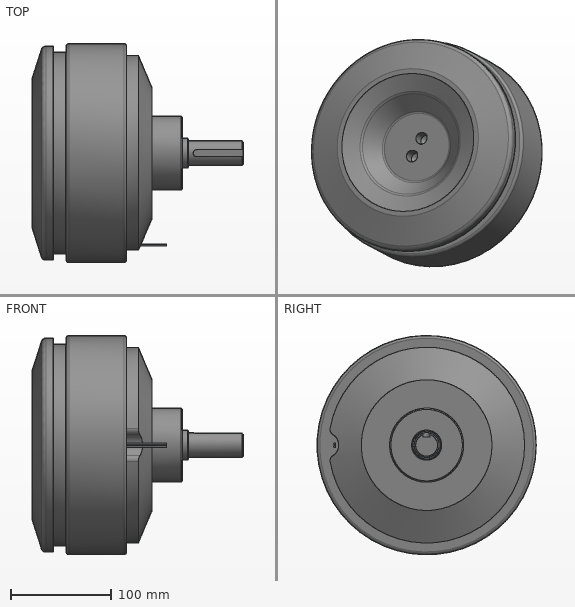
import cadquery as cq
import math


ring_inner_d = 140.0
ring_outer_d = 149.8
disc_d = 214.0
disc_cone_depth = 10.3
disc_end_x = 21.5
disc_fillet = 5.0
disc_chamfer = 0.9

recess_mouth_depth = 7.2
recess_mouth_d = 103.8
recess_depth = 26.3
recess_floor_d = 71.0
recess_mouth_fillet = 5.5
recess_floor_fillet = 2.5

hole_d = 11.8
hole_point_angle = 118.0
hole_depth = 15.0
hole_y = 5.0
hole_z = 8.8

neck_d = 202.0
neck_chamfer = 0.9

body_d = 219.0
body_start_x = 34.0
body_end_x = 94.4
body_fillet = 2.8

boss_d = 195.5
boss_rim_end_x = 106.0
boss_back_d = 130.5
boss_end_x = 119.8

hub_d = 74.0
hub_end_x = 150.0
hub_chamfer = 1.3
collar_d = 30.0
collar_end_x = 156.1
collar_chamfer = 1.0
shaft_d = 25.0
shaft_end_x = 211.0
shaft_chamfer = 1.5

key_width = 7.0
key_start_x = 160.7
key_depth = 4.2

scallop_r = 12.5
scallop_floor_y = -87.8
scallop_lip_r = 6.0

wire_d = 2.0
wire_y = -91.8
wire_pitch = 2.6
wire_end_x = 134.2
wire_embed = 4.4


def turned_body():
    """Solid of revolution with its recess, before rounding the edges."""
    outline = [
        (recess_depth, 0),
        (recess_depth, recess_floor_d / 2),
        (recess_mouth_depth, recess_mouth_d / 2),
        (0, ring_inner_d / 2),
        (0, ring_outer_d / 2),
        (disc_cone_depth, disc_d / 2),
        (disc_end_x, disc_d / 2),
        (disc_end_x, neck_d / 2),
        (body_start_x - neck_chamfer, neck_d / 2),
        (body_start_x, neck_d / 2 - neck_chamfer),
        (body_start_x, body_d / 2),
        (body_end_x, body_d / 2),
        (body_end_x, boss_d / 2),
        (boss_rim_end_x, boss_d / 2),
        (boss_end_x, boss_back_d / 2),
        (boss_end_x, hub_d / 2),
        (hub_end_x, hub_d / 2),
        (hub_end_x, collar_d / 2),
        (collar_end_x, collar_d / 2),
        (collar_end_x, shaft_d / 2),
        (shaft_end_x, shaft_d / 2),
        (shaft_end_x, 0),
    ]
    return cq.Workplane("XY").polyline(outline).close().revolve(360, (0, 0, 0), (1, 0, 0))


def circular_edge(solid, x, diameter):
    """Select the circular edge of the given diameter at the given X."""
    reach = 0.1
    outer = diameter / 2 + reach
    box = cq.selectors.BoxSelector(
        (x - reach, -outer, -outer), (x + reach, outer, outer), boundingbox=True
    )
    circles = solid.edges("%CIRCLE").edges(box)
    return circles.filter(lambda edge: abs(edge.radius() - diameter / 2) < reach)


def round_and_chamfer(solid):
    fillets = [
        (disc_cone_depth, disc_d, disc_fillet),
        (recess_mouth_depth, recess_mouth_d, recess_mouth_fillet),
        (recess_depth, recess_floor_d, recess_floor_fillet),
        (body_start_x, body_d, body_fillet),
        (body_end_x, body_d, body_fillet),
    ]
    chamfers = [
        (disc_end_x, disc_d, disc_chamfer),
        (hub_end_x, hub_d, hub_chamfer),
        (collar_end_x, collar_d, collar_chamfer),
        (shaft_end_x, shaft_d, shaft_chamfer),
    ]
    for x, diameter, radius in fillets:
        solid = circular_edge(solid, x, diameter).fillet(radius)
    for x, diameter, size in chamfers:
        solid = circular_edge(solid, x, diameter).chamfer(size)
    return solid


def drilled_hole(side):
    """Blind hole in the recess floor with a conical end; side is +1 or -1."""
    radius = hole_d / 2
    point_depth = radius / math.tan(math.radians(hole_point_angle / 2))
    profile = [(0, 0), (0, radius), (hole_depth, radius), (hole_depth + point_depth, 0)]
    return (
        cq.Workplane("XY", origin=(recess_depth, -side * hole_y, side * hole_z))
        .polyline(profile)
        .close()
        .revolve(360, (0, 0, 0), (1, 0, 0))
    )


def keyway():
    """Round-ended slot from the top of the shaft, running out of its end."""
    radius = key_width / 2
    floor_z = shaft_d / 2 - key_depth
    overrun = 2.2
    length = shaft_end_x + overrun - key_start_x - radius
    straight = (
        cq.Workplane("XY", origin=(key_start_x + radius, 0, floor_z))
        .rect(length, key_width, centered=(False, True))
        .extrude(key_depth + overrun)
    )
    round_end = (
        cq.Workplane("XY", origin=(key_start_x + radius, 0, floor_z))
        .circle(radius)
        .extrude(key_depth + overrun)
    )
    return straight.union(round_end)


def scallop():
    """Cutter for the scallop: a concave arc blended by lip arcs into the boss rim."""
    boss_r = boss_d / 2
    center_y = scallop_floor_y - scallop_r

    lip_center_r = boss_r - scallop_lip_r
    reach = scallop_r + scallop_lip_r
    lip_center_y = (center_y**2 + lip_center_r**2 - reach**2) / (2 * center_y)
    lip_center_z = math.sqrt(lip_center_r**2 - lip_center_y**2)

    rim_angle = math.atan2(lip_center_z, lip_center_y)
    inner_angle = math.atan2(-lip_center_z, center_y - lip_center_y) % (2 * math.pi)

    def lip_point(angle, side):
        y = lip_center_y + scallop_lip_r * math.cos(angle)
        z = lip_center_z + scallop_lip_r * math.sin(angle)
        return y, side * z

    middle_angle = (rim_angle + inner_angle) / 2
    outside_y = -body_d / 2
    return (
        cq.Workplane("YZ", origin=(body_end_x, 0, 0))
        .moveTo(*lip_point(rim_angle, 1))
        .threePointArc(lip_point(middle_angle, 1), lip_point(inner_angle, 1))
        .threePointArc((scallop_floor_y, 0), lip_point(inner_angle, -1))
        .threePointArc(lip_point(middle_angle, -1), lip_point(rim_angle, -1))
        .lineTo(outside_y, lip_point(rim_angle, -1)[1])
        .lineTo(outside_y, lip_point(rim_angle, 1)[1])
        .close()
        .extrude(boss_end_x - body_end_x)
    )


def lead_wires():
    start_x = body_end_x - wire_embed
    return (
        cq.Workplane("YZ", origin=(start_x, 0, 0))
        .pushPoints([(wire_y, -wire_pitch / 2), (wire_y, wire_pitch / 2)])
        .circle(wire_d / 2)
        .extrude(wire_end_x - start_x)
    )


result = round_and_chamfer(turned_body())
for side in (1, -1):
    result = result.cut(drilled_hole(side))
result = result.cut(keyway()).cut(scallop()).union(lead_wires())